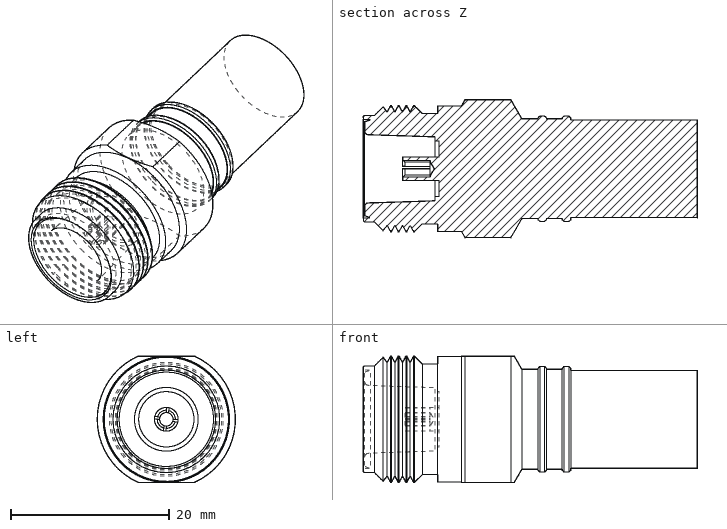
import cadquery as cq
import math


OVERALL_LENGTH = 42.3
NOSE_END = 1.45
RELIEF_END = 9.45
COLLAR_END = 12.45
NUT_CYLINDER_START = 12.88
NUT_CYLINDER_END = 18.7

NOSE_RADIUS = 6.75
RELIEF_RADIUS = 7.0
COLLAR_RADIUS = 7.95
NUT_RADIUS = 8.75
BARREL_RADIUS = 6.35
TAIL_RADIUS = 6.2

THREAD_RADIUS = 8.0
THREAD_ROOT_RADIUS = 7.2
THREAD_CREST_FLAT = 0.12
THREAD_PITCH = 0.97
THREAD_CREST_COUNT = 4
FIRST_CREST = 3.54
LEAD_IN_END = 2.55
LEAD_IN_END_RADIUS = 7.85

NUT_REAR_SLOPE = 60.0

ACROSS_FLATS = 16.0

RING_RADIUS = 6.7
RING_WIDTH = 1.1
RING_CHAMFER = 0.25
RING_STARTS = (22.12, 25.18)

NOSE_EDGE_FILLET = 0.25
RIM_GROOVE_OUTER_RADIUS = 6.22
RIM_GROOVE_INNER_RADIUS = 5.97
FACE_RECESS = 0.2
RIM_GROOVE_DEPTH = 0.75

MOUTH_RADIUS = 4.8
BORE_RADIUS = 4.3
BORE_FLOOR_RADIUS = 4.03
BORE_DEPTH = 9.1
INSULATOR_RADIUS = 3.5
INSULATOR_DEPTH = 9.6

CONTACT_RADIUS = 1.5
CONTACT_TIP = 5.0
CONTACT_HOLE_RADIUS = 0.85
CONTACT_HOLE_DEPTH = 3.5
CONTACT_HOLE_CHAMFER = 0.3
DRILL_POINT_ANGLE = 118.0
SLOT_WIDTH = 0.3
SLOT_LENGTH = 3.5
SLOT_TILT = 8.5


def revolve_about_x(profile):
    """Close a (station, radius) profile and turn it a full circle about the X axis."""
    return profile.close().revolve(360, (0, 0, 0), (1, 0, 0))


def thread_points():
    """Root and crest points of the thread rings, from the first root to the last crest."""
    points = []
    for index in range(THREAD_CREST_COUNT):
        crest = FIRST_CREST + index * THREAD_PITCH
        points.append((crest - THREAD_PITCH / 2, THREAD_ROOT_RADIUS))
        points.append((crest - THREAD_CREST_FLAT / 2, THREAD_RADIUS))
        points.append((crest + THREAD_CREST_FLAT / 2, THREAD_RADIUS))
    return points


def make_body():
    """Nose, thread, relief, collar, round nut, barrel and tail as one turned solid."""
    tail_start = RING_STARTS[-1] + RING_WIDTH
    last_crest_end = FIRST_CREST + (THREAD_CREST_COUNT - 1) * THREAD_PITCH + THREAD_CREST_FLAT / 2
    relief_start = last_crest_end + THREAD_RADIUS - RELIEF_RADIUS
    nut_end = NUT_CYLINDER_END + (NUT_RADIUS - BARREL_RADIUS) / math.tan(math.radians(NUT_REAR_SLOPE))
    points = [
        (0, 0),
        (0, NOSE_RADIUS),
        (NOSE_END, NOSE_RADIUS),
        (LEAD_IN_END, LEAD_IN_END_RADIUS),
        *thread_points(),
        (relief_start, RELIEF_RADIUS),
        (RELIEF_END, RELIEF_RADIUS),
        (RELIEF_END, COLLAR_RADIUS),
        (COLLAR_END, COLLAR_RADIUS),
        (NUT_CYLINDER_START, NUT_RADIUS),
        (NUT_CYLINDER_END, NUT_RADIUS),
        (nut_end, BARREL_RADIUS),
        (tail_start, BARREL_RADIUS),
        (tail_start, TAIL_RADIUS),
        (OVERALL_LENGTH, TAIL_RADIUS),
        (OVERALL_LENGTH, 0),
    ]
    body = revolve_about_x(cq.Workplane("XY").polyline(points))
    return body.faces("<X").edges().fillet(NOSE_EDGE_FILLET)


def cut_wrench_flats(body):
    """Cut the two opposite wrench flats on the nut."""
    flat_height = ACROSS_FLATS / 2
    cutter = cq.Workplane("XY").box(
        OVERALL_LENGTH - COLLAR_END, 2 * NUT_RADIUS, NUT_RADIUS - flat_height, centered=(False, True, False)
    )
    cutter = cutter.translate((COLLAR_END, 0, flat_height))
    return body.cut(cutter).cut(cutter.mirror("XY"))


def make_grip_ring(start):
    """Barrel ring with both outer edges chamfered."""
    ring = cq.Workplane("YZ").workplane(offset=start).circle(RING_RADIUS).extrude(RING_WIDTH)
    return ring.edges().chamfer(RING_CHAMFER)


def make_face_recess():
    """Recess inside the rim, with a groove around it that has a sloping inner wall."""
    profile = cq.Workplane("XY").polyline([
        (0, 0),
        (0, RIM_GROOVE_OUTER_RADIUS),
        (FACE_RECESS + RIM_GROOVE_DEPTH, RIM_GROOVE_OUTER_RADIUS),
        (FACE_RECESS, RIM_GROOVE_INNER_RADIUS),
        (FACE_RECESS, 0),
    ])
    return revolve_about_x(profile)


def make_socket():
    """Socket space: rounded mouth, tapered bore and the recessed insulator face."""
    mouth_fillet = MOUTH_RADIUS - BORE_RADIUS
    diagonal_inset = mouth_fillet * (1 - math.sqrt(0.5))
    profile = (
        cq.Workplane("XY")
        .moveTo(FACE_RECESS, 0)
        .lineTo(FACE_RECESS, MOUTH_RADIUS)
        .threePointArc(
            (FACE_RECESS + diagonal_inset, BORE_RADIUS + diagonal_inset),
            (FACE_RECESS + mouth_fillet, BORE_RADIUS),
        )
        .lineTo(BORE_DEPTH, BORE_FLOOR_RADIUS)
        .lineTo(BORE_DEPTH, INSULATOR_RADIUS)
        .lineTo(INSULATOR_DEPTH, INSULATOR_RADIUS)
        .lineTo(INSULATOR_DEPTH, 0)
    )
    return revolve_about_x(profile)


def make_contact_hole():
    """Drilled contact hole with a chamfered mouth and a conical bottom."""
    hole_end = CONTACT_TIP + CONTACT_HOLE_DEPTH
    point_length = CONTACT_HOLE_RADIUS / math.tan(math.radians(DRILL_POINT_ANGLE / 2))
    profile = cq.Workplane("XY").polyline([
        (CONTACT_TIP, 0),
        (CONTACT_TIP, CONTACT_HOLE_RADIUS + CONTACT_HOLE_CHAMFER),
        (CONTACT_TIP + CONTACT_HOLE_CHAMFER, CONTACT_HOLE_RADIUS),
        (hole_end, CONTACT_HOLE_RADIUS),
        (hole_end + point_length, 0),
    ])
    return revolve_about_x(profile)


def make_contact():
    """Centre contact split into four fingers by two crossed slots."""
    contact_length = INSULATOR_DEPTH - CONTACT_TIP
    tip_plane = cq.Workplane("YZ").workplane(offset=CONTACT_TIP)
    contact = tip_plane.circle(CONTACT_RADIUS).extrude(contact_length)
    for angle in (SLOT_TILT, SLOT_TILT + 90):
        slot = (
            tip_plane
            .rect(SLOT_WIDTH, 2 * CONTACT_RADIUS)
            .extrude(SLOT_LENGTH)
            .rotate((0, 0, 0), (1, 0, 0), angle)
        )
        contact = contact.cut(slot)
    return contact


body = cut_wrench_flats(make_body())
for ring_start in RING_STARTS:
    body = body.union(make_grip_ring(ring_start))
body = body.cut(make_face_recess()).cut(make_socket())
result = body.union(make_contact()).cut(make_contact_hole())